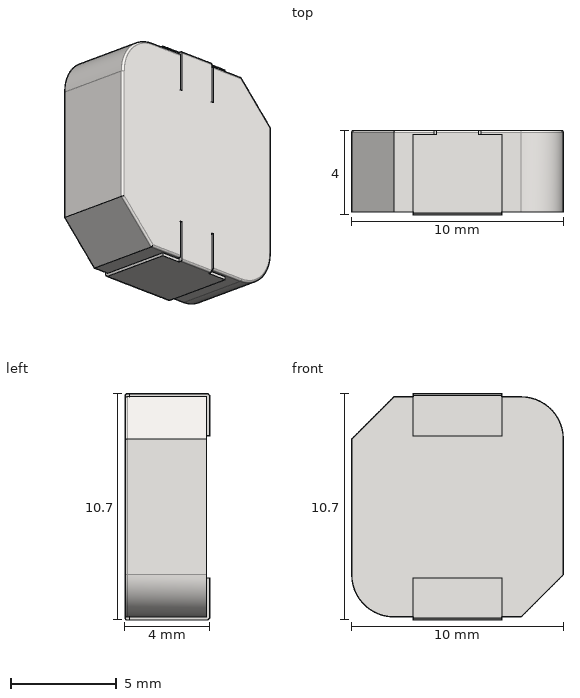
import cadquery as cq

overall_depth = 4.0
overall_height = 10.7

body_width = 10.0
corner_size = 2.0
back_edge_radius = 0.1

sheet_thickness = 0.15
terminal_width = 4.2
pad_length = 2.0
bend_bevel = 0.1
tab_width = 2.0
tab_length = 2.0

pocket_depth = 0.2
pocket_side_gap = 0.1

body_depth = overall_depth - sheet_thickness
body_height = overall_height - 2 * sheet_thickness
front_y = -overall_depth / 2
body_front_y = front_y + sheet_thickness
back_y = overall_depth / 2
pocket_y = back_y - pocket_depth
body_top_z = body_height / 2
top_z = overall_height / 2


def make_box(width, y_start, y_end, z_start, z_end):
    """Box centred on X = 0 that spans the given Y and Z ranges."""
    return (
        cq.Workplane("XY")
        .box(width, y_end - y_start, z_end - z_start, centered=(True, False, False))
        .translate((0, y_start, z_start))
    )


def mirror_to_bottom(upper):
    """Copy of an upper feature at the bottom of the part."""
    return upper.mirror("XY")


def make_body():
    """Block with two opposite corners rounded and the other two chamfered."""
    block = make_box(body_width, body_front_y, back_y, -body_top_z, body_top_z)
    block = block.edges("<(1,0,-1) or >(1,0,-1)").chamfer(corner_size)
    block = block.edges("<(1,0,1) or >(1,0,1)").fillet(corner_size)
    return block.faces(">Y").edges().fillet(back_edge_radius)


def make_upper_pocket():
    """Recess in the back face, open to the top, around the upper tab."""
    pocket_width = tab_width + 2 * pocket_side_gap
    return make_box(pocket_width, pocket_y, back_y, top_z - tab_length, top_z)


def make_upper_terminal():
    """Front foot, top strap and back tab of the upper terminal."""
    strap = make_box(terminal_width, front_y, pocket_y, body_top_z, top_z)
    foot = make_box(terminal_width, front_y, body_front_y, top_z - pad_length, top_z)
    tab = make_box(tab_width, pocket_y, back_y, top_z - tab_length, top_z)
    tab = tab.edges(">Y and >Z").fillet(back_edge_radius)
    bent_sheet = strap.union(foot).edges("<Y and >Z").chamfer(bend_bevel)
    return bent_sheet.union(tab)


upper_pocket = make_upper_pocket()
upper_terminal = make_upper_terminal()

result = (
    make_body()
    .cut(upper_pocket)
    .cut(mirror_to_bottom(upper_pocket))
    .union(upper_terminal)
    .union(mirror_to_bottom(upper_terminal))
)